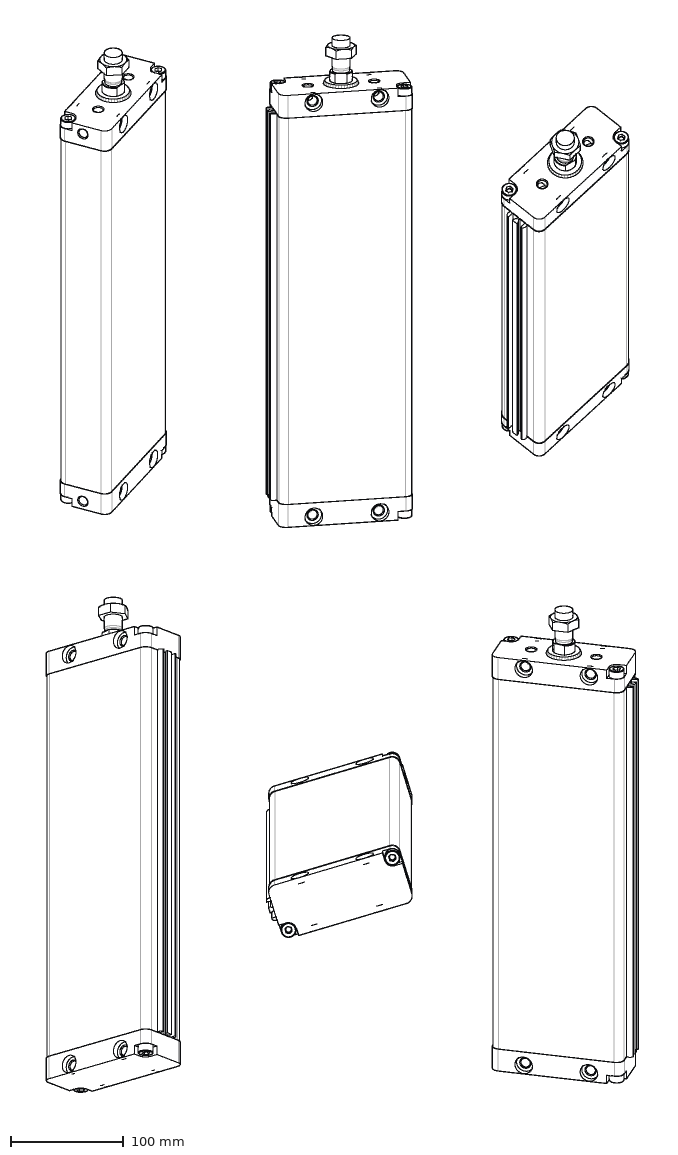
import cadquery as cq
import math


TOTAL_HEIGHT = 444.0
CAP_WIDTH = 50.0
CAP_LENGTH = 121.0
CAP_HEIGHT = 21.5
CORNER_RADIUS = 7.0
HOUSING_HEIGHT = 402.0

BARREL_INSET = 0.5
BARREL_WIDTH = CAP_WIDTH - 2 * BARREL_INSET
BARREL_LENGTH = CAP_LENGTH - 2 * BARREL_INSET
BARREL_HEIGHT = HOUSING_HEIGHT - 2 * CAP_HEIGHT

RAIL_HEIGHT = 5.5
RAIL_INNER_OFFSET = 7.5
RAIL_FOOT_WIDTH = 2.0
RAIL_TOP_WIDTH = 1.5
RAIL_BULGE_WIDTH = 3.0
T_HEAD_WIDTH = 5.5
T_HEAD_DEPTH = 1.8
T_TAPER_DEPTH = 2.0
T_STEM_WIDTH = 1.8

THREAD_HOLE_DIAMETER = 8.5
THREAD_MOUTH_DIAMETER = 10.0
THREAD_MOUTH_DEPTH = (THREAD_MOUTH_DIAMETER - THREAD_HOLE_DIAMETER) / 2

MOUNT_SPACING = 60.0
SIDE_HOLE_DROP = 8.5
MOUNT_BORE_DIAMETER = 16.0
MOUNT_BORE_DEPTH = 5.5
PORT_DEPTH = 10.5
END_HOLE_DEPTH = 16.0

SCREW_CORNER_OFFSET = 7.0
SCREW_RECESS_DIAMETER = 14.0
SCREW_RECESS_DEPTH = 8.0
SCREW_HEAD_DIAMETER = 13.5
SCREW_HEAD_SINK = 1.0
SCREW_HEAD_CHAMFER = 0.65
SOCKET_ACROSS_CORNERS = 6.5
SOCKET_POINT_DIAMETER = 5.0
SOCKET_POINT_DEPTH = 1.5
SOCKET_DEPTH = 3.5

COLLAR_BASE_DIAMETER = 31.5
COLLAR_TOP_DIAMETER = 29.0
COLLAR_HEIGHT = 2.5
COLLAR_SIDES = 36

ROD_DIAMETER = 20.0
ROD_SHOULDER_Z = 413.5
ROD_SHOULDER_CHAMFER = 0.5
FLAT_ACROSS = 17.0
FLAT_TURN = 13.0
THREAD_DIAMETER = 16.0
THREAD_BOTTOM_Z = 417.5
NECK_DIAMETER = 15.0
THREAD_RUNOUT = 1.8

NUT_ACROSS_FLATS = 24.0
NUT_THICKNESS = 9.0
NUT_CHAMFER_ANGLE = 30.0
NUT_BOTTOM_Z = 428.0


def vertical_cylinder(diameter, bottom, height, x=0.0, y=0.0):
    return cq.Workplane("XY", origin=(x, y, bottom)).circle(diameter / 2).extrude(height)


def rounded_block(width, length, bottom, height):
    block = cq.Workplane("XY", origin=(0, 0, bottom)).rect(width, length).extrude(height)
    return block.edges("|Z").fillet(CORNER_RADIUS)


def threaded_hole(start, direction, depth):
    """Tool for a hole that starts at a point and narrows through a chamfered mouth."""
    hole = cq.Solid.makeCylinder(THREAD_HOLE_DIAMETER / 2, depth, start, direction)
    mouth = cq.Solid.makeCone(
        THREAD_MOUTH_DIAMETER / 2, THREAD_HOLE_DIAMETER / 2, THREAD_MOUTH_DEPTH, start, direction
    )
    return cq.Workplane(hole).union(cq.Workplane(mouth))


def cut_cross_holes(cap, top):
    """Mounting holes through the cap along X, counterbored from both sides."""
    axis_z = top - SIDE_HOLE_DROP
    for y in (-MOUNT_SPACING / 2, MOUNT_SPACING / 2):
        for side in (-1, 1):
            inward = cq.Vector(-side, 0, 0)
            face = cq.Vector(side * CAP_WIDTH / 2, y, axis_z)
            floor = face + inward * MOUNT_BORE_DEPTH
            bore = cq.Solid.makeCylinder(MOUNT_BORE_DIAMETER / 2, MOUNT_BORE_DEPTH, face, inward)
            cap = cap.cut(cq.Workplane(bore))
            cap = cap.cut(threaded_hole(floor, inward, CAP_WIDTH / 2 - MOUNT_BORE_DEPTH))
    return cap


def cut_port(cap, top):
    """Blind air port in the -Y side."""
    start = cq.Vector(0, -CAP_LENGTH / 2, top - SIDE_HOLE_DROP)
    return cap.cut(threaded_hole(start, cq.Vector(0, 1, 0), PORT_DEPTH))


def make_screw_recess(side, x, y, floor):
    """Recess tool: a round pocket opened out to the cap corner on one side."""
    pocket = vertical_cylinder(SCREW_RECESS_DIAMETER, floor, SCREW_RECESS_DEPTH, x, y)
    reach = SCREW_RECESS_DIAMETER / 2
    toward_x = cq.Workplane("XY", origin=(x + side * reach / 2, y, floor)).rect(reach, 2 * reach)
    toward_y = cq.Workplane("XY", origin=(x, y + side * reach / 2, floor)).rect(2 * reach, reach)
    pocket = pocket.union(toward_x.extrude(SCREW_RECESS_DEPTH))
    return pocket.union(toward_y.extrude(SCREW_RECESS_DEPTH))


def make_screw_head(x, y, floor, head_top):
    """Screw head with a hexagon socket that ends in a drill point."""
    head = vertical_cylinder(SCREW_HEAD_DIAMETER, floor, head_top - floor, x, y)
    head = head.faces(">Z").chamfer(SCREW_HEAD_CHAMFER)
    socket_floor = head_top - SOCKET_DEPTH
    socket = (
        cq.Workplane("XY", origin=(x, y, socket_floor))
        .polygon(6, SOCKET_ACROSS_CORNERS)
        .extrude(SOCKET_DEPTH)
    )
    point = cq.Solid.makeCone(
        SOCKET_POINT_DIAMETER / 2, 0, SOCKET_POINT_DEPTH, cq.Vector(x, y, socket_floor), cq.Vector(0, 0, -1)
    )
    return head.cut(socket).cut(cq.Workplane(point))


def add_corner_screws(cap, top):
    """Recesses in two opposite corners, each with a sunk screw head."""
    floor = top - SCREW_RECESS_DEPTH
    for side in (-1, 1):
        x = side * (CAP_WIDTH / 2 - SCREW_CORNER_OFFSET)
        y = side * (CAP_LENGTH / 2 - SCREW_CORNER_OFFSET)
        cap = cap.cut(make_screw_recess(side, x, y, floor))
        cap = cap.union(make_screw_head(x, y, floor, top - SCREW_HEAD_SINK))
    return cap


def make_cap():
    """A cap whose outer end is at the top of the housing."""
    top = HOUSING_HEIGHT
    cap = rounded_block(CAP_WIDTH, CAP_LENGTH, top - CAP_HEIGHT, CAP_HEIGHT)
    cap = cut_cross_holes(cap, top)
    cap = cut_port(cap, top)
    return add_corner_screws(cap, top)


def make_end_cap():
    return make_cap().mirror("XY", (0, 0, HOUSING_HEIGHT / 2))


def make_head_cap():
    """The rod-side cap, with a tapered many-sided collar, a rod bore and two holes in its end."""
    collar = (
        cq.Workplane("XY", origin=(0, 0, HOUSING_HEIGHT))
        .polygon(COLLAR_SIDES, COLLAR_BASE_DIAMETER)
        .workplane(offset=COLLAR_HEIGHT)
        .polygon(COLLAR_SIDES, COLLAR_TOP_DIAMETER)
        .loft(ruled=True)
    )
    cap = make_cap().union(collar)
    bottom = HOUSING_HEIGHT - CAP_HEIGHT
    cap = cap.cut(vertical_cylinder(ROD_DIAMETER, bottom, CAP_HEIGHT + COLLAR_HEIGHT))
    for y in (-MOUNT_SPACING / 2, MOUNT_SPACING / 2):
        start = cq.Vector(0, y, HOUSING_HEIGHT)
        cap = cap.cut(threaded_hole(start, cq.Vector(0, 0, -1), END_HOLE_DEPTH))
    return cap


def rail_plane():
    return cq.Workplane("XY", origin=(0, 0, CAP_HEIGHT))


def make_side_rail():
    """The -X rail: a straight inner flank and a bulging outer flank."""
    foot = BARREL_LENGTH / 2
    top = CAP_LENGTH / 2 + RAIL_HEIGHT
    inner = -RAIL_INNER_OFFSET
    return (
        rail_plane()
        .moveTo(inner, foot)
        .lineTo(inner, top)
        .lineTo(inner - RAIL_TOP_WIDTH, top)
        .threePointArc((inner - RAIL_BULGE_WIDTH, (foot + top) / 2), (inner - RAIL_FOOT_WIDTH, foot))
        .close()
        .extrude(BARREL_HEIGHT)
    )


def make_middle_rail():
    """A T-shaped rail with a tapered underside."""
    foot = BARREL_LENGTH / 2
    top = CAP_LENGTH / 2 + RAIL_HEIGHT
    head_bottom = top - T_HEAD_DEPTH
    taper_bottom = head_bottom - T_TAPER_DEPTH
    half_head = T_HEAD_WIDTH / 2
    half_stem = T_STEM_WIDTH / 2
    return (
        rail_plane()
        .moveTo(-half_stem, foot)
        .lineTo(-half_stem, taper_bottom)
        .lineTo(-half_head, head_bottom)
        .lineTo(-half_head, top)
        .lineTo(half_head, top)
        .lineTo(half_head, head_bottom)
        .lineTo(half_stem, taper_bottom)
        .lineTo(half_stem, foot)
        .close()
        .extrude(BARREL_HEIGHT)
    )


def make_barrel():
    barrel = rounded_block(BARREL_WIDTH, BARREL_LENGTH, CAP_HEIGHT, BARREL_HEIGHT)
    side_rail = make_side_rail()
    return barrel.union(side_rail).union(side_rail.mirror("YZ")).union(make_middle_rail())


def make_rod():
    """Piston rod with two spanner flats, a relief neck and a threaded end."""
    bottom = HOUSING_HEIGHT - CAP_HEIGHT
    shaft = vertical_cylinder(ROD_DIAMETER, bottom, ROD_SHOULDER_Z - bottom)
    shaft = shaft.faces(">Z").chamfer(ROD_SHOULDER_CHAMFER)
    flat_height = ROD_SHOULDER_Z - HOUSING_HEIGHT
    for side in (-1, 1):
        offcut = (
            cq.Workplane("XY", origin=(side * (FLAT_ACROSS + ROD_DIAMETER) / 2, 0, HOUSING_HEIGHT))
            .rect(ROD_DIAMETER, ROD_DIAMETER)
            .extrude(flat_height)
            .rotate((0, 0, 0), (0, 0, 1), -FLAT_TURN)
        )
        shaft = shaft.cut(offcut)
    runout_bottom = THREAD_BOTTOM_Z - THREAD_RUNOUT
    neck = vertical_cylinder(NECK_DIAMETER, ROD_SHOULDER_Z, runout_bottom - ROD_SHOULDER_Z)
    runout = cq.Solid.makeCone(
        NECK_DIAMETER / 2, THREAD_DIAMETER / 2, THREAD_RUNOUT, cq.Vector(0, 0, runout_bottom)
    )
    thread = vertical_cylinder(THREAD_DIAMETER, THREAD_BOTTOM_Z, TOTAL_HEIGHT - THREAD_BOTTOM_Z)
    return shaft.union(neck).union(cq.Workplane(runout)).union(thread)


def make_nut():
    """Hexagon nut with two corners on the Y axis and its top corners turned off."""
    across_corners = NUT_ACROSS_FLATS / math.cos(math.pi / 6)
    corner_reach = (across_corners - NUT_ACROSS_FLATS) / 2
    chamfer_drop = corner_reach * math.tan(math.radians(NUT_CHAMFER_ANGLE))
    crown_z = NUT_BOTTOM_Z + NUT_THICKNESS - chamfer_drop
    blank = vertical_cylinder(across_corners, NUT_BOTTOM_Z, NUT_THICKNESS - chamfer_drop)
    crown = cq.Solid.makeCone(
        across_corners / 2, NUT_ACROSS_FLATS / 2, chamfer_drop, cq.Vector(0, 0, crown_z)
    )
    return (
        cq.Workplane("XY", origin=(0, 0, NUT_BOTTOM_Z))
        .polygon(6, across_corners)
        .extrude(NUT_THICKNESS)
        .rotate((0, 0, 0), (0, 0, 1), 90)
        .intersect(blank.union(cq.Workplane(crown)))
        .cut(vertical_cylinder(THREAD_DIAMETER, NUT_BOTTOM_Z, NUT_THICKNESS))
    )


end_cap = make_end_cap()
barrel = make_barrel()
head_cap = make_head_cap()
rod = make_rod()
nut = make_nut()

result = cq.Compound.makeCompound(
    [end_cap.val(), barrel.val(), head_cap.val(), rod.val(), nut.val()]
)